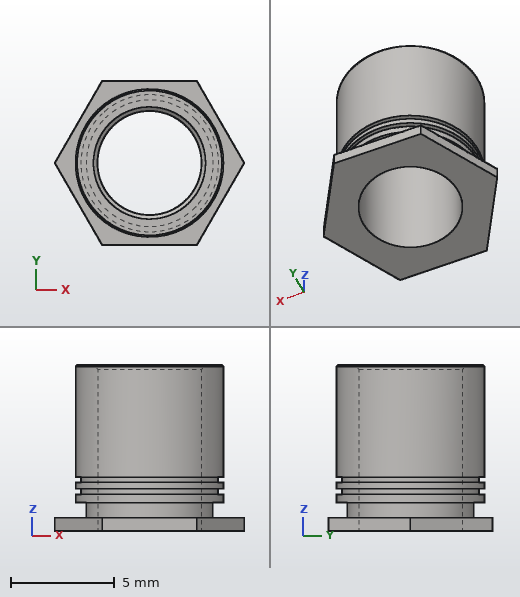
import cadquery as cq

hex_across_corners = 9.12
flange_top = 0.65

body_diameter = 7.12
groove_diameter = 6.61
neck_diameter = 6.1
bore_diameter = 5.0

neck_top = 1.37
lower_ring_top = 1.77
lower_groove_top = 2.03
upper_ring_top = 2.34
upper_groove_top = 2.6
total_height = 8.0

outer_chamfer = 0.08
bore_chamfer = 0.2


def cylinder(diameter, bottom, top):
    """Upright cylinder on the Z axis between two heights."""
    return cq.Workplane("XY").workplane(offset=bottom).circle(diameter / 2).extrude(top - bottom)


result = cq.Workplane("XY").polygon(6, hex_across_corners).extrude(flange_top)

stack = [
    (neck_diameter, neck_top),
    (body_diameter, lower_ring_top),
    (groove_diameter, lower_groove_top),
    (body_diameter, upper_ring_top),
    (groove_diameter, upper_groove_top),
]
bottom = flange_top
for diameter, top in stack:
    result = result.union(cylinder(diameter, bottom, top))
    bottom = top

body = cylinder(body_diameter, upper_groove_top, total_height).faces(">Z").edges().chamfer(outer_chamfer)
result = result.union(body)

result = result.cut(cylinder(bore_diameter, 0, total_height))
bore_mouth = cq.selectors.RadiusNthSelector(0)
result = result.faces(">Z").edges(bore_mouth).chamfer(bore_chamfer)